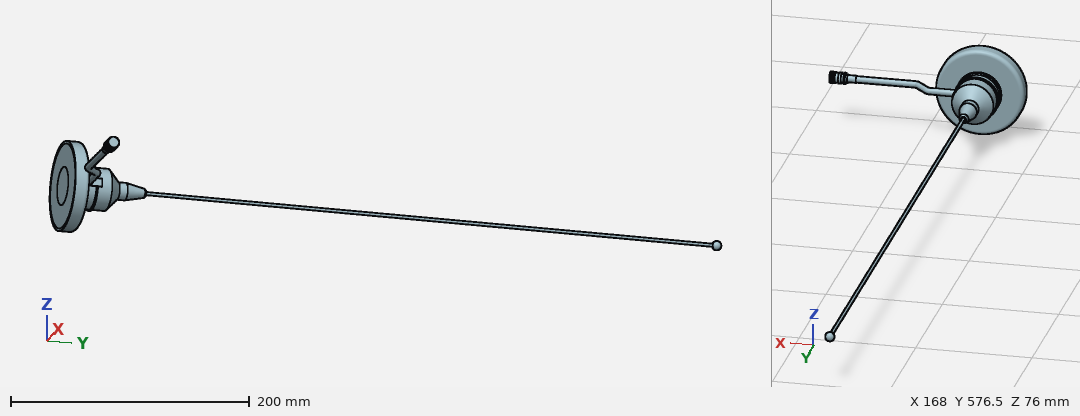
import cadquery as cq
import math

overall_height = 576.5
overall_width = 168.0

base_radius = 38.0
base_height = 12.5
base_edge_fillet = 3.5
pad_radius = 36.0
pad_thickness = 3.0
plug_radius = 16.0

collar_top = 25.5
collar_radius = 18.0
rim_radius = 19.0
upper_rim_height = 1.0
lower_rim_height = 3.5
lower_rim_chamfer = 1.0
boss_width = 7.0
boss_top = 29.0
boss_end = 19.0
housing_radius = 18.0
shoulder_height = 38.0
neck_radius = 7.5
neck_base = 48.0
neck_top = 55.0
ferrule_tip_radius = 4.0
ferrule_chamfer = 2.0
ferrule_top = 72.5

whip_radius = 1.45
tip_radius = 4.0
tip_center = overall_height - tip_radius

cable_radius = 3.0
cable_exit_height = 17.5
cable_low_height = 5.0
cable_start = 11.5
cable_step_start = 43.0
cable_bend_radius = 4.5
cable_step_angle = 45.0

connector_end = overall_width - base_radius
sleeve_start = 107.0
sleeve_end = 115.0
sleeve_radius = 3.2
barrel_radius = 3.75
ring_radius = 4.9
ring_start = 116.5
ring_width = 1.0
nut_start = 120.0
nut_radius = ring_radius
nut_groove_radius = 4.3
nut_grooves = ((122.0, 125.0), (126.0, 127.0), (128.0, 128.5))


def turned(outline):
    """Solid of revolution about Y from (radius, height) points; the axis closes the outline."""
    return cq.Workplane("XY").polyline(outline).close().revolve(360, (0, 0), (0, 1))


def disc(radius, bottom, top):
    """Round disc on the mast axis between two heights."""
    return turned([(0, bottom), (radius, bottom), (radius, top), (0, top)])


def make_base():
    body = disc(base_radius, 0, base_height)
    body = body.faces(">Y").edges().fillet(base_edge_fillet)
    return body.cut(disc(pad_radius, 0, pad_thickness))


def make_pad():
    return disc(pad_radius, 0, pad_thickness).cut(disc(plug_radius, 0, pad_thickness))


def make_plug():
    return disc(plug_radius, 0, pad_thickness)


def make_boss():
    """Narrow block on the collar wall where the cable leaves."""
    length = boss_end - cable_start
    height = boss_top - base_height
    block = cq.Workplane("XY").box(length, height, boss_width, centered=(False, False, True))
    return block.translate((cable_start, base_height, 0))


def make_collar(cable):
    body = disc(collar_radius, base_height, collar_top)
    upper_rim = disc(rim_radius, collar_top - upper_rim_height, collar_top)
    lower_rim = disc(rim_radius, base_height, base_height + lower_rim_height)
    lower_rim = lower_rim.faces(">Y").edges().chamfer(lower_rim_chamfer)
    return body.union(upper_rim).union(lower_rim).union(make_boss()).cut(cable)


def make_housing(collar):
    body = turned([
        (0, collar_top),
        (housing_radius, collar_top),
        (housing_radius, shoulder_height),
        (neck_radius, neck_base),
        (neck_radius, neck_top),
        (0, neck_top),
    ])
    return body.cut(collar)


def make_ferrule():
    return turned([
        (0, neck_top),
        (neck_radius, neck_top),
        (ferrule_tip_radius, ferrule_top - ferrule_chamfer),
        (ferrule_tip_radius - ferrule_chamfer, ferrule_top),
        (0, ferrule_top),
    ])


def make_whip():
    return disc(whip_radius, ferrule_top, tip_center)


def make_tip(whip):
    """Ball with a socket for the end of the whip."""
    ball = cq.Workplane("XY").sphere(tip_radius).translate((0, tip_center, 0))
    return ball.cut(whip)


def make_cable():
    angle = math.radians(cable_step_angle)
    lower_corner_x = cable_step_start + (cable_exit_height - cable_low_height) / math.tan(angle)
    tangent = cable_bend_radius * math.tan(angle / 2)
    slant_x = tangent * math.cos(angle)
    slant_y = tangent * math.sin(angle)
    path = (
        cq.Workplane("XY")
        .moveTo(cable_start, cable_exit_height)
        .lineTo(cable_step_start - tangent, cable_exit_height)
        .radiusArc((cable_step_start + slant_x, cable_exit_height - slant_y), cable_bend_radius)
        .lineTo(lower_corner_x - slant_x, cable_low_height + slant_y)
        .radiusArc((lower_corner_x + tangent, cable_low_height), -cable_bend_radius)
        .lineTo(sleeve_start, cable_low_height)
    )
    profile = cq.Workplane("YZ", origin=(cable_start, cable_exit_height, 0)).circle(cable_radius)
    return profile.sweep(path)


def barrel(radius, start, end):
    """Round length of the connector, coaxial with the low run of the cable."""
    section = cq.Workplane("YZ", origin=(start, cable_low_height, 0)).circle(radius)
    return section.extrude(end - start)


def make_connector():
    body = barrel(sleeve_radius, sleeve_start, sleeve_end)
    body = body.union(barrel(barrel_radius, sleeve_end, nut_start))
    body = body.union(barrel(ring_radius, ring_start, ring_start + ring_width))
    body = body.union(barrel(nut_radius, nut_start, connector_end))
    for start, end in nut_grooves:
        body = body.cut(barrel(nut_radius, start, end).cut(barrel(nut_groove_radius, start, end)))
    return body


base = make_base()
pad = make_pad()
plug = make_plug()
cable = make_cable()
collar = make_collar(cable)
housing = make_housing(collar)
ferrule = make_ferrule()
whip = make_whip()
tip = make_tip(whip)
connector = make_connector()

result = cq.Compound.makeCompound([
    base.val(),
    pad.val(),
    plug.val(),
    collar.val(),
    housing.val(),
    ferrule.val(),
    whip.val(),
    tip.val(),
    cable.val(),
    connector.val(),
])